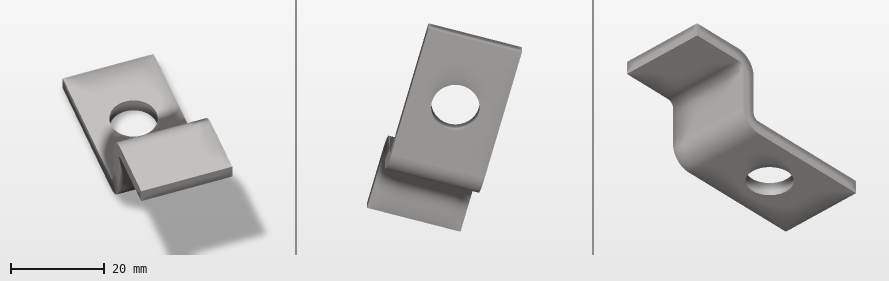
import cadquery as cq

length = 49.2125
width = 20.6375
height = 19.05
thickness = 3.175
inner_bend_radius = thickness / 2
outer_bend_radius = inner_bend_radius + thickness

riser_x = 31.75
hole_x = riser_x / 2
hole_diameter = 10.31875


def bent_strip():
    """Sharp-cornered Z profile across the full width, then rounded at both bends."""
    riser_back_x = riser_x + thickness
    upper_flange_z = height - thickness
    strip = (
        cq.Workplane("XZ")
        .moveTo(0, 0)
        .lineTo(riser_back_x, 0)
        .lineTo(riser_back_x, upper_flange_z)
        .lineTo(length, upper_flange_z)
        .lineTo(length, height)
        .lineTo(riser_x, height)
        .lineTo(riser_x, thickness)
        .lineTo(0, thickness)
        .close()
        .extrude(width / 2, both=True)
    )
    bend_corners = [
        (riser_x, thickness, inner_bend_radius),
        (riser_back_x, upper_flange_z, inner_bend_radius),
        (riser_back_x, 0, outer_bend_radius),
        (riser_x, height, outer_bend_radius),
    ]
    for x, z, radius in bend_corners:
        corner_edge = cq.selectors.NearestToPointSelector((x, 0, z))
        strip = strip.edges("|Y").edges(corner_edge).fillet(radius)
    return strip


def mounting_hole():
    """Round cutter through the lower flange."""
    return cq.Workplane("XY").center(hole_x, 0).circle(hole_diameter / 2).extrude(thickness)


result = bent_strip().cut(mounting_hole())